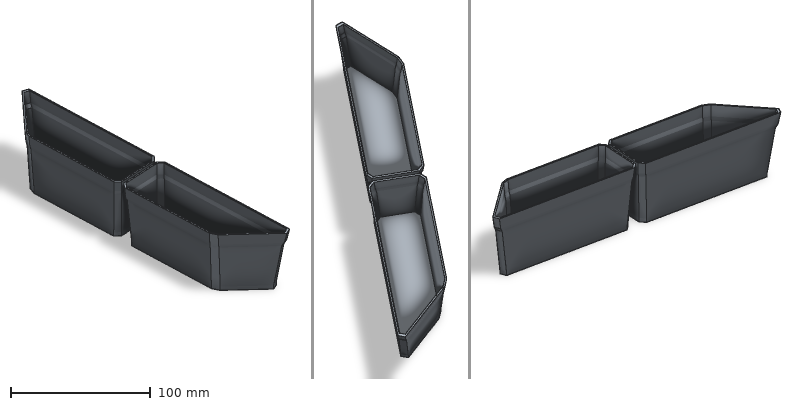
import cadquery as cq
import math

TOTAL_LENGTH = 257.0
RIM_DEPTH = 42.5
HEIGHT = 51.7
GAP = 2.0

BASE_HEIGHT = 3.0
STEP_BOTTOM = 39.3
STEP_TOP = 42.5

FOOT_INSET = 3.9
STEP_BOTTOM_INSET = 1.5
STEP_TOP_INSET = 0.8

WALL = 1.3
FLOOR = 3.0

SQUARE_CUT = 3.9
ACUTE_CUT = 7.2
OBTUSE_CUT = 3.5
OUTER_CUTS = (SQUARE_CUT, ACUTE_CUT, OBTUSE_CUT)
INNER_SQUARE_CUT = 3.5
INNER_ACUTE_CUT = 6.0
INNER_OBTUSE_CUT = 3.3
INNER_CUTS = (INNER_SQUARE_CUT, INNER_ACUTE_CUT, INNER_OBTUSE_CUT)

SLANT_ANGLE = 45
SLANT_COS = math.cos(math.radians(SLANT_ANGLE))
SLANT_SIN = math.sin(math.radians(SLANT_ANGLE))
SLANT_TAN = math.tan(math.radians(SLANT_ANGLE))

INNER_END = -GAP / 2
BACK = RIM_DEPTH / 2
FRONT = -RIM_DEPTH / 2
ACUTE_X = -TOTAL_LENGTH / 2 - ACUTE_CUT * SLANT_COS
OBTUSE_X = ACUTE_X + RIM_DEPTH / SLANT_TAN


def outline(inset, cuts):
    """Corner points of the tray outline, moved inward by inset, with its corners cut by flats."""
    square_cut, acute_cut, obtuse_cut = cuts
    back = BACK - inset
    front = FRONT + inset
    end = INNER_END - inset
    acute_x = ACUTE_X + inset * (1 / SLANT_SIN + 1 / SLANT_TAN)
    obtuse_x = OBTUSE_X + inset * (1 / SLANT_SIN - 1 / SLANT_TAN)
    return [
        (acute_x + acute_cut, back),
        (end - square_cut, back),
        (end, back - square_cut),
        (end, front + square_cut),
        (end - square_cut, front),
        (obtuse_x + obtuse_cut, front),
        (obtuse_x - obtuse_cut * SLANT_COS, front + obtuse_cut * SLANT_SIN),
        (acute_x + acute_cut * SLANT_COS, back - acute_cut * SLANT_SIN),
    ]


def stacked_body(levels, cuts):
    """Solid with flat sides running straight between the outlines at (height, inset) levels."""
    wires = [
        cq.Wire.makePolygon([cq.Vector(x, y, z) for x, y in outline(inset, cuts)], close=True)
        for z, inset in levels
    ]
    return cq.Workplane(cq.Solid.makeLoft(wires, True))


def make_tray():
    """Left-hand tray: a stepped, tapering shell that is open at the top."""
    outside = stacked_body([
        (0, FOOT_INSET),
        (BASE_HEIGHT, FOOT_INSET),
        (STEP_BOTTOM, STEP_BOTTOM_INSET),
        (STEP_TOP, STEP_TOP_INSET),
        (HEIGHT, 0),
    ], OUTER_CUTS)
    cavity = stacked_body([
        (FLOOR, FOOT_INSET + WALL),
        (STEP_BOTTOM, STEP_BOTTOM_INSET + WALL),
        (STEP_TOP, STEP_TOP_INSET + WALL),
        (HEIGHT, WALL),
    ], INNER_CUTS)
    return outside.cut(cavity)


left_tray = make_tray()
right_tray = left_tray.mirror("YZ")

result = cq.Compound.makeCompound([left_tray.val(), right_tray.val()])